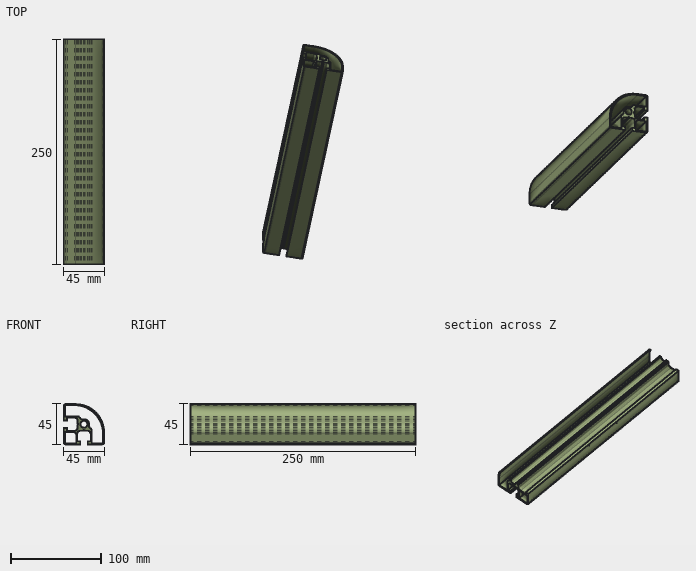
import cadquery as cq
import math

side = 45.0
length = 250.0
wall = 1.5
skin_radius = 32.0
inner_skin_radius = 31.0
corner_radius = 2.5

slot_opening = 8.2
slot_width = 14.5
slot_depth = 15.2
lip_thickness = 3.8
slot_corner_radius = 3.2
groove_half_width = 1.0
groove_depth = 0.8

bore_diameter = 7.5
boss_radius = 5.8
cavity_chamfer = 2.0
diagonal_setback = 1.2

center = side / 2
arc_center = side - skin_radius
inner_arc_center = side - wall - inner_skin_radius
web_near = center - slot_width / 2 - wall
web_far = center + slot_width / 2 + wall
diagonal_start = slot_depth + diagonal_setback
boss_top = center + boss_radius
diagonal_end = diagonal_start + web_far - boss_top


def extrude(profile):
    """Extrude a section drawn in X and Z over the full length along +Y."""
    return profile.extrude(-length)


def section():
    return cq.Workplane("XZ")


def arc_middle(middle, radius):
    """Point at 45 degrees on an arc centered on the line x = z."""
    place = middle + radius * math.sqrt(0.5)
    return (place, place)


def outer_body():
    profile = (
        section()
        .lineTo(side, 0)
        .lineTo(side, arc_center)
        .threePointArc(arc_middle(arc_center, skin_radius), (arc_center, side))
        .lineTo(0, side)
        .close()
    )
    body = extrude(profile)
    for x, z in [(0, 0), (side, 0), (0, side)]:
        corner_edge = cq.selectors.NearestToPointSelector((x, length / 2, z))
        body = body.edges(corner_edge).fillet(corner_radius)
    return body


def large_cavity():
    """Curved chamber between the round skin and the slotted core."""
    inner_face = side - wall
    return extrude(
        section()
        .moveTo(wall, web_far)
        .lineTo(diagonal_start, web_far)
        .lineTo(diagonal_end, boss_top)
        .lineTo(center, boss_top)
        .threePointArc(arc_middle(center, boss_radius), (boss_top, center))
        .lineTo(boss_top, diagonal_end)
        .lineTo(web_far, diagonal_start)
        .lineTo(web_far, wall)
        .lineTo(inner_face, wall)
        .lineTo(inner_face, inner_arc_center)
        .threePointArc(arc_middle(inner_arc_center, inner_skin_radius), (inner_arc_center, inner_face))
        .lineTo(wall, inner_face)
        .close()
    )


def small_cavity():
    """Square chamber in the corner, chamfered toward the bore."""
    return extrude(
        section()
        .moveTo(wall, wall)
        .lineTo(web_near, wall)
        .lineTo(web_near, web_near - cavity_chamfer)
        .lineTo(web_near - cavity_chamfer, web_near)
        .lineTo(wall, web_near)
        .close()
    )


def left_slot():
    """T-slot open to the left, with a V-groove along its floor."""
    half_opening = slot_opening / 2
    half_width = slot_width / 2
    upper_half = [
        (0, half_opening),
        (lip_thickness, half_opening),
        (lip_thickness, half_width),
        (slot_depth, half_width),
        (slot_depth, groove_half_width),
    ]
    upper = [(x, center + offset) for x, offset in upper_half]
    lower = [(x, center - offset) for x, offset in reversed(upper_half)]
    groove_tip = (slot_depth + groove_depth, center)
    slot = extrude(section().polyline(upper + [groove_tip] + lower).close())
    for z in [center - half_width, center + half_width]:
        corner_edge = cq.selectors.NearestToPointSelector((slot_depth, length / 2, z))
        slot = slot.edges(corner_edge).fillet(slot_corner_radius)
    return slot


def bottom_slot():
    """Left slot turned a half turn about the line x = z."""
    return left_slot().rotate((0, length / 2, 0), (2.5, length / 2, 2.5), 180)


def bore():
    return extrude(section().center(center, center).circle(bore_diameter / 2))


result = outer_body()
for void in [large_cavity(), small_cavity(), left_slot(), bottom_slot(), bore()]:
    result = result.cut(void)